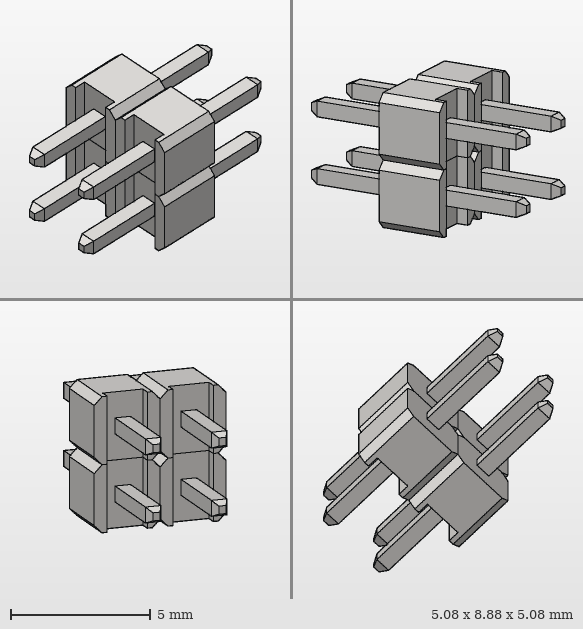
import cadquery as cq

COLUMNS = 2
ROWS = 2
PITCH = 2.54

BLOCK_DEPTH = 2.5
BLOCK_FRONT_Y = -1.5
CORNER_CHAMFER = 0.3
SLOT_WIDTH = 1.545
SLOT_DEPTH = 0.44

PIN_LENGTH = 8.88
PIN_SIDE = 0.595
TIP_LENGTH = 0.33
TIP_END_WIDTH = 0.275
TIP_END_HEIGHT = 0.3


def make_block():
    """Block with its four long edges chamfered and a vertical slot in its front face."""
    block = (
        cq.Workplane("XY")
        .box(PITCH, BLOCK_DEPTH, PITCH)
        .edges("|Y")
        .chamfer(CORNER_CHAMFER)
        .translate((0, BLOCK_FRONT_Y + BLOCK_DEPTH / 2, 0))
    )
    slot = (
        cq.Workplane("XY")
        .box(SLOT_WIDTH, SLOT_DEPTH, PITCH)
        .translate((0, BLOCK_FRONT_Y + SLOT_DEPTH / 2, 0))
    )
    return block.cut(slot)


def make_front_tip():
    """Four-sided taper on the front end of the pin."""
    shank_end_y = -PIN_LENGTH / 2 + TIP_LENGTH
    return (
        cq.Workplane("XZ", origin=(0, shank_end_y, 0))
        .rect(PIN_SIDE, PIN_SIDE)
        .workplane(offset=TIP_LENGTH)
        .rect(TIP_END_WIDTH, TIP_END_HEIGHT)
        .loft(ruled=True)
    )


def make_pin():
    """Square shank with the same taper at both ends."""
    shank = cq.Workplane("XY").box(PIN_SIDE, PIN_LENGTH - 2 * TIP_LENGTH, PIN_SIDE)
    front_tip = make_front_tip()
    back_tip = front_tip.mirror("XZ")
    return shank.union(front_tip).union(back_tip)


def make_contact_unit():
    """One block and the pin that runs through it, as a single body."""
    return make_block().union(make_pin())


def grid_offset(index, count):
    """Position of one unit along a row or column centred on the origin."""
    return (index - (count - 1) / 2) * PITCH


contact_unit = make_contact_unit()
contact_units = []
for row in range(ROWS):
    for column in range(COLUMNS):
        position = (grid_offset(column, COLUMNS), 0, grid_offset(row, ROWS))
        contact_units.append(contact_unit.translate(position).val())

result = cq.Compound.makeCompound(contact_units)